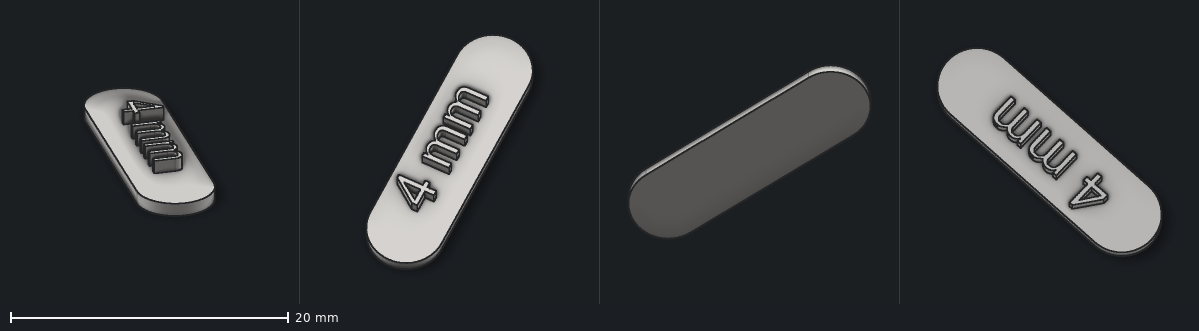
import cadquery as cq

plate_length = 19.92
plate_width = 5.74
plate_thickness = 1.0

raised_height = 1.0
baseline_y = -0.88
stroke = 0.4

four_left = -5.58
four_height = 3.0
four_width = 2.05
four_stem_left = 1.25
four_stem_right = four_stem_left + stroke
four_bar_bottom = 0.72
four_bar_top = four_bar_bottom + 0.38
four_diagonal_foot = 1.15
four_diagonal_head = 1.37
four_window_left = 0.35
four_window_top = 2.4

first_m_left = -1.85
m_pitch = 3.49
m_count = 2
m_width = 2.95
m_lead_width = 0.32
m_lead_height = 2.17
m_notch_height = 1.87
m_arch_top = 2.23
m_arch_underside = 1.93
m_inner_left_spring = 1.31
m_inner_right_spring = 1.57
m_outer_spring = 1.51
m_middle_left = 1.25
m_middle_right = m_middle_left + stroke
m_middle_notch = 1.57
m_right_left = m_width - stroke
first_arch_peak = 0.92
second_arch_peak = 2.21

UP = (0, 1)
DOWN = (0, -1)
LEFT = (-1, 0)
RIGHT = (1, 0)


def character_plane(left):
    """Sketch plane on the plate's top face, at a character's lower left corner."""
    return cq.Workplane("XY", origin=(left, baseline_y, plate_thickness))


def make_plate():
    return cq.Workplane("XY").slot2D(plate_length, plate_width).extrude(plate_thickness)


def make_four():
    outline = [
        (four_stem_left, 0),
        (four_stem_right, 0),
        (four_stem_right, four_bar_bottom),
        (four_width, four_bar_bottom),
        (four_width, four_bar_top),
        (four_stem_right, four_bar_top),
        (four_stem_right, four_height),
        (four_diagonal_head, four_height),
        (0, four_diagonal_foot),
        (0, four_bar_bottom),
        (four_stem_left, four_bar_bottom),
    ]
    window = [
        (four_window_left, four_bar_top),
        (four_stem_left, four_bar_top),
        (four_stem_left, four_window_top),
    ]
    sketch = character_plane(four_left).polyline(outline).close()
    return sketch.polyline(window).close().extrude(raised_height)


def inner_arch(sketch, right, left):
    """Underside of one arch, drawn from its right spring over to its left spring."""
    points = [
        (right, m_inner_right_spring),
        ((left + right) / 2, m_arch_underside),
        (left, m_inner_left_spring),
    ]
    return sketch.lineTo(*points[0]).spline(points[1:], tangents=[UP, LEFT, DOWN], includeCurrent=True)


def make_m(left):
    sketch = (
        character_plane(left)
        .lineTo(0, m_lead_height)
        .lineTo(m_lead_width, m_lead_height)
        .lineTo(m_lead_width, m_notch_height)
        .threePointArc((first_arch_peak, m_arch_top), (m_middle_notch, m_notch_height))
        .spline(
            [(second_arch_peak, m_arch_top), (m_width, m_outer_spring)],
            tangents=[(1, 1), RIGHT, DOWN],
            includeCurrent=True,
        )
        .lineTo(m_width, 0)
        .lineTo(m_right_left, 0)
    )
    sketch = inner_arch(sketch, m_right_left, m_middle_right)
    sketch = sketch.lineTo(m_middle_right, 0).lineTo(m_middle_left, 0)
    sketch = inner_arch(sketch, m_middle_left, stroke)
    return sketch.lineTo(stroke, 0).close().extrude(raised_height)


result = make_plate().union(make_four())
for index in range(m_count):
    result = result.union(make_m(first_m_left + index * m_pitch))